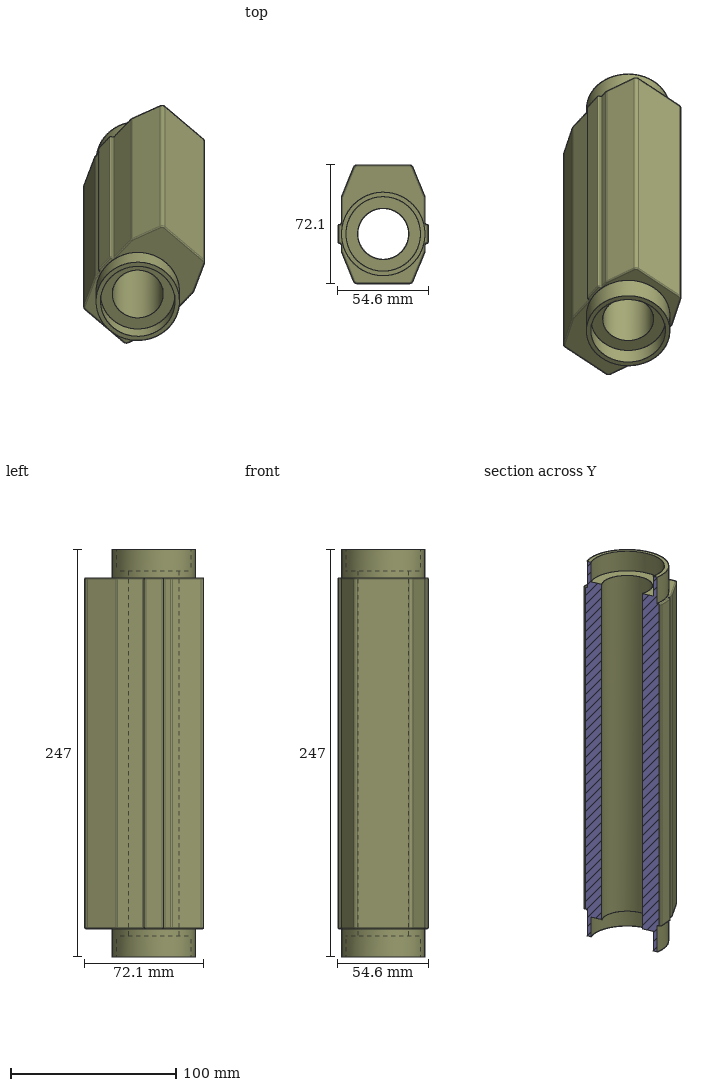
import cadquery as cq
import math

total_length = 247.01
body_width = 50.8
body_depth = 72.09
rib_span = 54.61

body_offset = 5.82
bevel_depth = 19.5
bevel_angle = 22.3
bevel_width = bevel_depth * math.tan(math.radians(bevel_angle))
corner_radius = 2.54
end_radius = 0.75

rib_width = 11.6
rib_radius = 0.95

collar_length = 17.2
collar_diameter = 50.6
socket_diameter = 45.15
socket_depth = 12.9
bore_diameter = 30.8

body_length = total_length - 2 * collar_length


def make_prism():
    """Bevelled prism with rounded long edges."""
    half_width = body_width / 2
    half_depth = body_depth / 2
    flat_half_width = half_width - bevel_width
    flank_half_depth = half_depth - bevel_depth
    outline = [
        (flat_half_width, half_depth),
        (half_width, flank_half_depth),
        (half_width, -flank_half_depth),
        (flat_half_width, -half_depth),
        (-flat_half_width, -half_depth),
        (-half_width, -flank_half_depth),
        (-half_width, flank_half_depth),
        (-flat_half_width, half_depth),
    ]
    prism = cq.Workplane("XY").polyline(outline).close().extrude(body_length / 2, both=True)
    return prism.edges("|Z").fillet(corner_radius).translate((0, body_offset, 0))


def add_ribs(prism):
    """Add a full-length rib to each flank, rounded at its corners and roots."""
    ribs = cq.Workplane("XY").box(rib_span, rib_width, body_length)
    body = prism.union(ribs.edges("|Z").fillet(rib_radius))
    for x_side in (1, -1):
        for y_side in (1, -1):
            root = (x_side * body_width / 2, y_side * rib_width / 2, 0)
            root_edge = cq.selectors.NearestToPointSelector(root)
            body = body.edges(root_edge).fillet(rib_radius)
    return body


def make_body():
    """Ribbed prism with the rims of both end faces rounded."""
    return add_ribs(make_prism()).faces("<Z or >Z").edges().fillet(end_radius)


def make_collars():
    """One cylinder through the body that stands out as a collar at each end."""
    return cq.Workplane("XY").circle(collar_diameter / 2).extrude(total_length / 2, both=True)


def make_bore():
    """Through bore with a wider socket in each collar."""
    bore = cq.Workplane("XY").circle(bore_diameter / 2).extrude(total_length / 2, both=True)
    for side in (1, -1):
        mouth = cq.Workplane("XY").workplane(offset=side * total_length / 2)
        bore = bore.union(mouth.circle(socket_diameter / 2).extrude(-side * socket_depth))
    return bore


result = make_body().union(make_collars()).cut(make_bore())